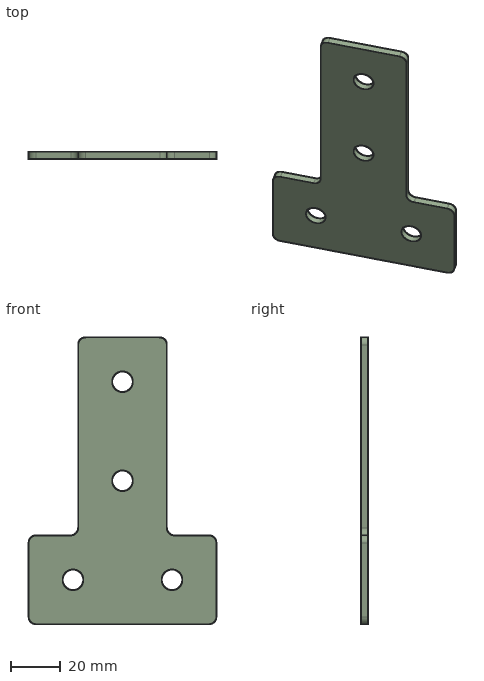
import cadquery as cq

thickness = 3.0
hole_pitch = 40.0
edge_distance = 18.0
hole_diameter = 8.2
corner_radius = 3.0

arm_width = 2 * edge_distance
foot_length = hole_pitch + arm_width
plate_height = 2 * hole_pitch + arm_width


def plate_arm(length, height):
    """Upright rectangular plate, centred in X and Y and standing on Z = 0."""
    return cq.Workplane("XY").box(length, thickness, height, centered=(True, True, False))


foot = plate_arm(foot_length, arm_width)
stem = plate_arm(arm_width, plate_height)
plate = foot.union(stem).edges("|Y").fillet(corner_radius)

hole_centres = [
    (-hole_pitch / 2, edge_distance),
    (hole_pitch / 2, edge_distance),
    (0, edge_distance + hole_pitch),
    (0, edge_distance + 2 * hole_pitch),
]
holes = (
    cq.Workplane("XZ", origin=(0, thickness / 2, 0))
    .pushPoints(hole_centres)
    .circle(hole_diameter / 2)
    .extrude(thickness)
)

result = plate.cut(holes)